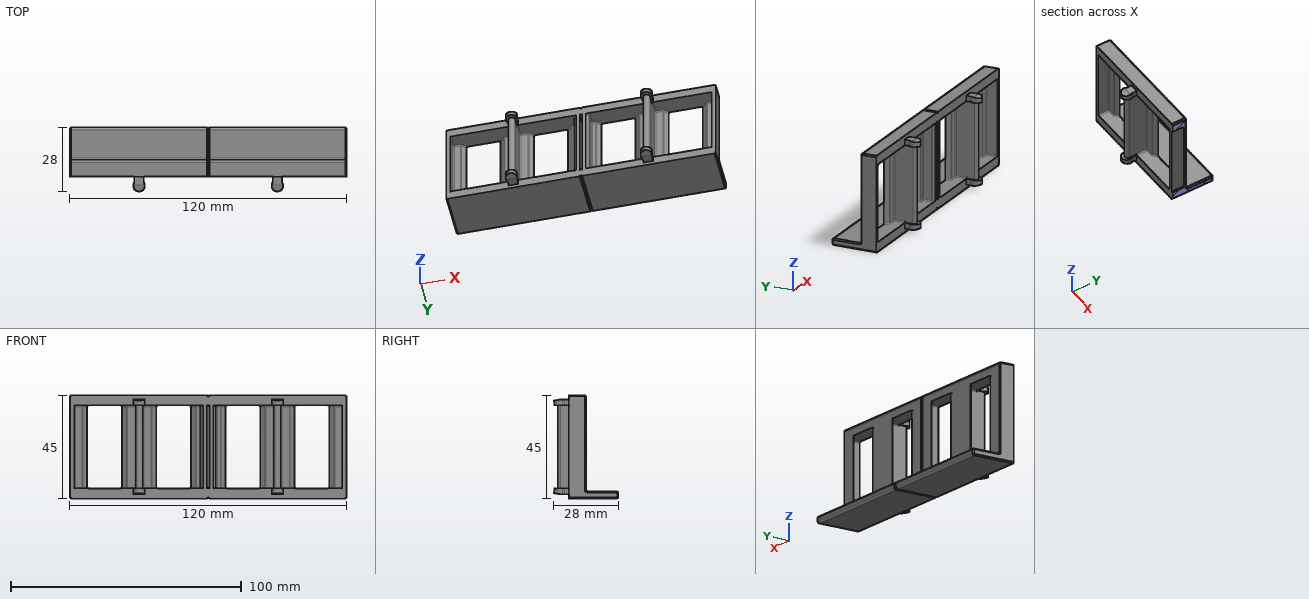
import cadquery as cq
import math

length = 120.0
height = 45.0
cell_length = length / 2
frame_depth = 7.5
shelf_reach = 21.5
shelf_thickness = 3.2
back_edge_radius = 1.1
corner_radius = 0.7
end_chamfer = 0.6

window_height = 36.0
window_bottom = (height - window_height) / 2
window_top = window_bottom + window_height
outer_wall = 1.8
seam_wall = 3.4
seam_chamfer = 1.2
seam_slot_width = 1.2
blend_radius = 0.5

bay_pitch = cell_length / 2
bay_diameter = 27.0
bay_radius = bay_diameter / 2
bay_opening = 15.0
post_depth = 1.8
bay_axis_y = frame_depth - math.sqrt(bay_radius**2 - (bay_opening / 2) ** 2)
post_front_y = frame_depth - post_depth
bay_half_width_at_post = math.sqrt(bay_radius**2 - (post_front_y - bay_axis_y) ** 2)

rib_width = bay_pitch - bay_diameter
rib_reach = 4.9
rib_tip_rise = 1.2
head_reach = 6.5
head_height = 2.6
head_width = 5.0
neck_width = 4.2
throat_radius = 2.0
slope_start = 3.6
slope_drop = 0.54

cutter_front_y = -2 * head_reach


def cell_body():
    """L-section with its end outlines chamfered, except along the front face."""
    section = (
        cq.Workplane("YZ")
        .polyline([
            (0, 0),
            (shelf_reach, 0),
            (shelf_reach, shelf_thickness),
            (frame_depth, shelf_thickness),
            (frame_depth, height),
            (0, height),
        ])
        .close()
        .extrude(cell_length)
    )
    body = section.edges("|X and >Y").fillet(back_edge_radius)
    top_back = cq.selectors.NearestToPointSelector((cell_length / 2, frame_depth, height))
    body = body.edges(top_back).fillet(back_edge_radius)
    inner = cq.selectors.NearestToPointSelector((cell_length / 2, frame_depth, shelf_thickness))
    body = body.edges(inner).fillet(corner_radius)
    return body.faces("<X or >X").edges("not <Y").chamfer(end_chamfer)


def hook_head():
    """Flared, round-nosed head whose outer face slopes towards the tip."""
    nose_radius = head_width / 2
    nose_y = nose_radius - head_reach
    neck = cq.Workplane("XY").box(neck_width, -nose_y, head_height, centered=(True, False, False))
    nose = cq.Workplane("XY").circle(nose_radius).extrude(head_height)
    head = neck.union(nose).translate((0, nose_y, 0))
    throat_y = nose_y + math.sqrt(nose_radius**2 - (neck_width / 2) ** 2)
    for side in (-1, 1):
        throat = cq.selectors.NearestToPointSelector((side * neck_width / 2, throat_y, head_height / 2))
        head = head.edges(throat).fillet(throat_radius)
    slope = (
        cq.Workplane("YZ")
        .polyline([
            (-slope_start, head_height),
            (-head_reach, head_height - slope_drop),
            (-head_reach, head_height),
        ])
        .close()
        .extrude(head_width, both=True)
    )
    return head.cut(slope).translate((cell_length / 2, 0, 0))


def post(x_center):
    """Post between two bays: flat in front, its flanks hollowed by the bay cylinders."""
    half_base = (bay_pitch - bay_opening) / 2
    half_front = bay_pitch / 2 - bay_half_width_at_post
    middle_angle = (
        math.asin(bay_opening / 2 / bay_radius) + math.asin(bay_half_width_at_post / bay_radius)
    ) / 2
    middle_x = bay_pitch / 2 - bay_radius * math.sin(middle_angle)
    middle_y = bay_axis_y + bay_radius * math.cos(middle_angle)
    return (
        cq.Workplane("XY", origin=(x_center, 0, window_bottom))
        .moveTo(-half_base, frame_depth)
        .threePointArc((-middle_x, middle_y), (-half_front, post_front_y))
        .lineTo(half_front, post_front_y)
        .threePointArc((middle_x, middle_y), (half_base, frame_depth))
        .close()
        .extrude(window_height)
    )


def rib():
    """Rib standing on the post, with a rounded front."""
    shoulder_y = rib_tip_rise - rib_reach
    return (
        cq.Workplane("XY", origin=(cell_length / 2, 0, window_bottom))
        .moveTo(-rib_width / 2, post_front_y)
        .lineTo(-rib_width / 2, shoulder_y)
        .threePointArc((0, -rib_reach), (rib_width / 2, shoulder_y))
        .lineTo(rib_width / 2, post_front_y)
        .close()
        .extrude(window_height)
    )


def blended_cutter(void):
    """Round the upright corners of a window cutter and the rims of both its ends."""
    post_corners = cq.selectors.BoxSelector(
        (-length, post_front_y - blend_radius, 0),
        (length, post_front_y + blend_radius, height),
    )
    void = void.edges("|Z").edges(post_corners).fillet(blend_radius)
    chamfer_end = cq.selectors.NearestToPointSelector((cell_length - seam_wall, seam_chamfer, height / 2))
    void = void.edges(chamfer_end).fillet(blend_radius)
    return void.faces("<Z or >Z").edges("not (<Y or >Y)").fillet(blend_radius)


def window_cutter():
    """Window of the first cell, with its posts and rib left standing."""
    seam_side = cell_length - seam_wall
    void = (
        cq.Workplane("XY", origin=(0, 0, window_bottom))
        .moveTo(outer_wall, cutter_front_y)
        .lineTo(seam_side + seam_chamfer, cutter_front_y)
        .lineTo(seam_side + seam_chamfer, 0)
        .lineTo(seam_side, seam_chamfer)
        .lineTo(seam_side, frame_depth)
        .lineTo(outer_wall, frame_depth)
        .close()
        .extrude(window_height)
    )
    for x_post in (0, cell_length / 2, cell_length):
        void = void.cut(post(x_post))
    return blended_cutter(void.cut(rib()))


def seam_slot_cutter():
    """Blind slot on the seam, reaching back to the post between the cells."""
    void = cq.Workplane("XY").box(
        seam_slot_width, post_front_y - cutter_front_y, window_height, centered=(True, False, False)
    )
    void = void.faces(">Y").edges().fillet(blend_radius)
    return void.translate((cell_length, cutter_front_y, window_bottom))


def cell():
    """First cell: body, rib and heads, opened by its window."""
    body = cell_body().union(rib())
    body = body.union(hook_head().translate((0, 0, window_top)))
    body = body.union(hook_head().mirror("XY").translate((0, 0, window_bottom)))
    return body.cut(window_cutter())


first_cell = cell()
second_cell = first_cell.mirror("YZ").translate((length, 0, 0))
result = first_cell.union(second_cell).cut(seam_slot_cutter())